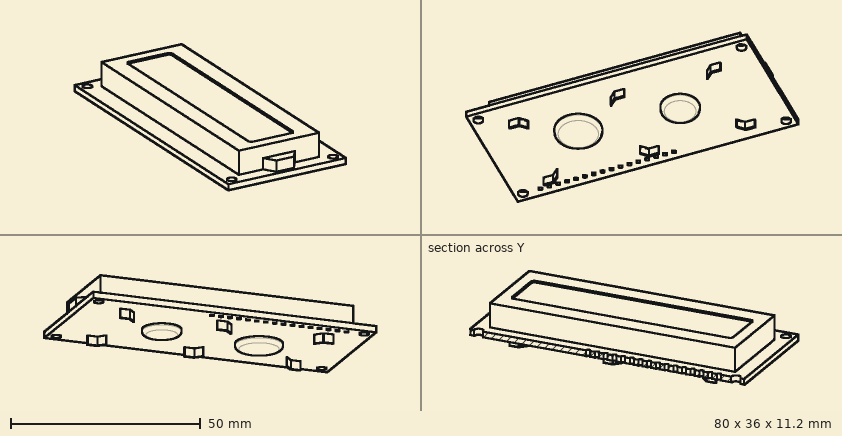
import cadquery as cq


BOARD_LENGTH = 80.0
BOARD_WIDTH = 36.0
BOARD_THICKNESS = 1.8

MOUNT_HOLE_DIAMETER = 2.6
MOUNT_HOLE_INSET = 2.5

PIN_COUNT = 16
PIN_ROW_LENGTH = 38.1
PIN_HOLE_DIAMETER = 1.0
FIRST_PIN_X = -32.6

BEZEL_LENGTH = 71.5
BEZEL_WIDTH = 24.6
BEZEL_HEIGHT = 6.9
WINDOW_LENGTH = 64.5
WINDOW_WIDTH = 13.6
WINDOW_DEPTH = 0.5
WINDOW_CORNER_RADIUS = 1.0

BACKLIGHT_REACH = 3.2
BACKLIGHT_ROOT_WIDTH = 9.7
BACKLIGHT_TIP_WIDTH = 5.4
BACKLIGHT_HEIGHT = 3.2

TAB_THICKNESS = 0.5
TAB_FLAT_LENGTH = 2.7
TAB_BEND = 1.8
TAB_DROP = 2.5
OUTER_TAB_X = 30.1
MIDDLE_TAB_X = 2.6

DOMES = [
    (-14.6, -2.0, 12.7),
    (13.7, -0.1, 10.5),
]
DOME_DROP = 1.5
DOME_EDGE_RADIUS = 1.0

OVERLAP = 0.4


def make_board():
    hole_x = BOARD_LENGTH / 2 - MOUNT_HOLE_INSET
    hole_y = BOARD_WIDTH / 2 - MOUNT_HOLE_INSET
    pin_pitch = PIN_ROW_LENGTH / (PIN_COUNT - 1)
    pins = [(FIRST_PIN_X + i * pin_pitch, hole_y) for i in range(PIN_COUNT)]
    return (
        cq.Workplane("XY")
        .box(BOARD_LENGTH, BOARD_WIDTH, BOARD_THICKNESS, centered=(True, True, False))
        .faces(">Z").workplane(origin=(0, 0, 0))
        .rect(2 * hole_x, 2 * hole_y, forConstruction=True).vertices()
        .hole(MOUNT_HOLE_DIAMETER)
        .faces(">Z").workplane(origin=(0, 0, 0))
        .pushPoints(pins)
        .hole(PIN_HOLE_DIAMETER)
    )


def make_bezel():
    bezel = (
        cq.Workplane("XY", origin=(0, 0, BOARD_THICKNESS - OVERLAP))
        .rect(BEZEL_LENGTH, BEZEL_WIDTH)
        .extrude(BEZEL_HEIGHT + OVERLAP)
    )
    window = (
        cq.Workplane("XY", origin=(0, 0, BOARD_THICKNESS + BEZEL_HEIGHT - WINDOW_DEPTH))
        .rect(WINDOW_LENGTH, WINDOW_WIDTH)
        .extrude(WINDOW_DEPTH)
        .edges("|Z").fillet(WINDOW_CORNER_RADIUS)
    )
    return bezel.cut(window)


def make_backlight():
    root_x = BEZEL_LENGTH / 2
    tip_x = root_x + BACKLIGHT_REACH
    outline = [
        (root_x - OVERLAP, -BACKLIGHT_ROOT_WIDTH / 2),
        (root_x, -BACKLIGHT_ROOT_WIDTH / 2),
        (tip_x, -BACKLIGHT_TIP_WIDTH / 2),
        (tip_x, BACKLIGHT_TIP_WIDTH / 2),
        (root_x, BACKLIGHT_ROOT_WIDTH / 2),
        (root_x - OVERLAP, BACKLIGHT_ROOT_WIDTH / 2),
    ]
    return (
        cq.Workplane("XY", origin=(0, 0, BOARD_THICKNESS - OVERLAP))
        .polyline(outline).close()
        .extrude(BACKLIGHT_HEIGHT + OVERLAP)
    )


def make_tab(end_x, bend_direction):
    """Tab on the -Y side: flat from end_x, then bent along bend_direction (+1 or -1) in X."""
    outer_y = -BEZEL_WIDTH / 2
    inner_y = outer_y + TAB_THICKNESS
    bend_x = end_x + bend_direction * TAB_FLAT_LENGTH
    tip_x = bend_x + bend_direction * TAB_BEND
    outline = [
        (end_x, outer_y),
        (bend_x, outer_y),
        (tip_x, outer_y + TAB_BEND),
        (tip_x, inner_y + TAB_BEND),
        (bend_x, inner_y),
        (end_x, inner_y),
    ]
    return (
        cq.Workplane("XY", origin=(0, 0, -TAB_DROP))
        .polyline(outline).close()
        .extrude(TAB_DROP + OVERLAP)
    )


def make_dome(x, y, diameter):
    return (
        cq.Workplane("XY", origin=(x, y, -DOME_DROP))
        .circle(diameter / 2)
        .extrude(DOME_DROP + OVERLAP)
        .faces("<Z").edges().fillet(DOME_EDGE_RADIUS)
    )


result = make_board().union(make_bezel()).union(make_backlight())

for end_x, bend_direction in [(-OUTER_TAB_X, 1), (MIDDLE_TAB_X, -1), (OUTER_TAB_X, -1)]:
    tab = make_tab(end_x, bend_direction)
    result = result.union(tab).union(tab.mirror("XZ"))

for x, y, diameter in DOMES:
    result = result.union(make_dome(x, y, diameter))